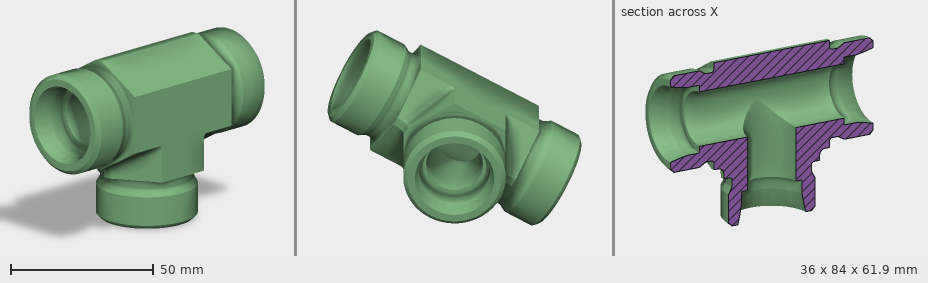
import cadquery as cq
import math

HEX_ACROSS_FLATS = 36.0
CORNER_FLAT_WIDTH = 3.0
BODY_REACH = 24.0
BRANCH_FILLET = 2.0

PORT_REACH = 42.0
THREAD_DIAMETER = 36.0
THREAD_LENGTH = 12.0
THREAD_CHAMFER = 1.5
RELIEF_DIAMETER = 33.0
RELIEF_FILLET = 1.0
RELIEF_RAMP_FILLET = 1.5
RELIEF_RAMP_ANGLE = 30.0

BORE_DIAMETER = 20.0
TUBE_DIAMETER = 25.0
TUBE_SOCKET_DEPTH = 12.0
MOUTH_DIAMETER = 27.9
CONE_HALF_ANGLE = 12.0

TAN_30 = math.tan(math.radians(30))
HALF_SIDE = HEX_ACROSS_FLATS / 2 * TAN_30

TOLERANCE = 1e-3

FRONT, BACK, DOWN = (0, -1, 0), (0, 1, 0), (0, 0, -1)


def port_plane(direction):
    """Plane through the part centre, facing along a port, local x along X."""
    return cq.Plane(origin=(0, 0, 0), xDir=(1, 0, 0), normal=direction)


def hex_prism(direction, start, end):
    """Hexagon with flats at +-X and its two local y corners cut flat."""
    half_width = HEX_ACROSS_FLATS / 2
    half_flat = CORNER_FLAT_WIDTH / 2
    flat_y = 2 * HALF_SIDE - half_flat * TAN_30
    outline = [
        (half_width, -HALF_SIDE),
        (half_width, HALF_SIDE),
        (half_flat, flat_y),
        (-half_flat, flat_y),
        (-half_width, HALF_SIDE),
        (-half_width, -HALF_SIDE),
        (-half_flat, -flat_y),
        (half_flat, -flat_y),
    ]
    return (
        cq.Workplane(port_plane(direction))
        .workplane(offset=start)
        .polyline(outline)
        .close()
        .extrude(end - start)
    )


def is_branch_corner(edge):
    """True for edges where a run face meets a branch face below the centre."""
    middle = edge.Center()
    on_mitre = abs(abs(middle.y) - abs(middle.z)) < TOLERANCE
    return on_mitre and middle.z < -HALF_SIDE - TOLERANCE


def tee_body():
    """Hexagonal run along Y joined to a hexagonal branch pointing down."""
    run = hex_prism(FRONT, -BODY_REACH, BODY_REACH)
    branch = hex_prism(DOWN, 0, BODY_REACH)
    body = run.union(branch)
    corners = [edge for edge in body.edges().vals() if is_branch_corner(edge)]
    return body.newObject(corners).fillet(BRANCH_FILLET)


def turning_plane(direction):
    """Plane holding a port axis: local x is the radius, local y runs out along the port."""
    radial = cq.Vector(1, 0, 0)
    normal = radial.cross(cq.Vector(*direction))
    return cq.Plane(origin=(0, 0, 0), xDir=radial, normal=normal)


def revolve_about_port(profile):
    """Turn a closed half profile one full turn about its port axis."""
    return profile.close().revolve(360, (0, 0), (0, 1))


def port_stub(direction):
    """Threaded end with its chamfer, ramp and undercut, drawn as a half profile and revolved."""
    thread_radius = THREAD_DIAMETER / 2
    relief_radius = RELIEF_DIAMETER / 2
    fillet_mid = RELIEF_FILLET * (1 - math.sqrt(0.5))

    ramp_angle = math.radians(RELIEF_RAMP_ANGLE)
    ramp_length = (thread_radius - relief_radius) / math.tan(ramp_angle)
    thread_start = PORT_REACH - THREAD_LENGTH
    ramp_foot = thread_start - ramp_length

    tangent_length = RELIEF_RAMP_FILLET * math.tan(ramp_angle / 2)
    round_start = ramp_foot - tangent_length

    def on_ramp_round(angle):
        radius = relief_radius + RELIEF_RAMP_FILLET * (1 - math.cos(angle))
        return radius, round_start + RELIEF_RAMP_FILLET * math.sin(angle)

    profile = (
        cq.Workplane(turning_plane(direction))
        .lineTo(relief_radius + RELIEF_FILLET, 0)
        .lineTo(relief_radius + RELIEF_FILLET, BODY_REACH)
        .threePointArc(
            (relief_radius + fillet_mid, BODY_REACH + fillet_mid),
            (relief_radius, BODY_REACH + RELIEF_FILLET),
        )
        .lineTo(relief_radius, round_start)
        .threePointArc(on_ramp_round(ramp_angle / 2), on_ramp_round(ramp_angle))
        .lineTo(thread_radius, thread_start)
        .lineTo(thread_radius, PORT_REACH - THREAD_CHAMFER)
        .lineTo(thread_radius - THREAD_CHAMFER, PORT_REACH)
        .lineTo(0, PORT_REACH)
    )
    return revolve_about_port(profile)


def port_bore(direction):
    """Through bore, tube socket and sealing cone of one port."""
    bore_radius = BORE_DIAMETER / 2
    tube_radius = TUBE_DIAMETER / 2
    mouth_radius = MOUTH_DIAMETER / 2
    cone_depth = (mouth_radius - tube_radius) / math.tan(math.radians(CONE_HALF_ANGLE))
    tube_stop = PORT_REACH - TUBE_SOCKET_DEPTH
    profile = (
        cq.Workplane(turning_plane(direction))
        .lineTo(bore_radius, 0)
        .lineTo(bore_radius, tube_stop)
        .lineTo(tube_radius, tube_stop)
        .lineTo(tube_radius, PORT_REACH - cone_depth)
        .lineTo(mouth_radius, PORT_REACH)
        .lineTo(0, PORT_REACH)
    )
    return revolve_about_port(profile)


result = tee_body()
for port_direction in (FRONT, BACK, DOWN):
    result = result.union(port_stub(port_direction))
for port_direction in (FRONT, BACK, DOWN):
    result = result.cut(port_bore(port_direction))